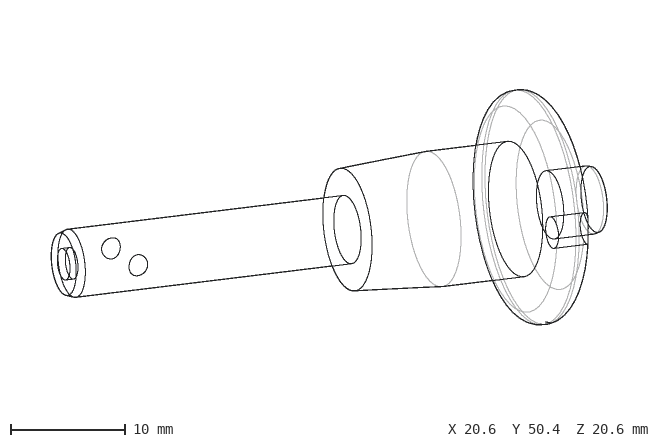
import cadquery as cq

length = 50.4
collar_start = 26.95
taper_end = 35.2
flange_front = 42.95
flange_back = 46.2

shank_radius = 6.0 / 2
tip_chamfer_length = 0.75
tip_chamfer_depth = 0.25
button_end_radius = 5.8 / 2
button_chamfer_length = 0.4

collar_radius = 11.9 / 2
collar_front_radius = 10.8 / 2

flange_radius = 20.6 / 2
front_edge_radius = 1.25
rim_width = 0.3
back_edge_width = 2.85
back_edge_height = flange_back - flange_front - front_edge_radius - rim_width

hole_diameter = 2.75
tip_hole_depth = 0.75
lanyard_hole_offset = 7.95

ball_radius = 1.0
ball_reach = 3.55
ball_station = 5.8


def make_body():
    """Revolve the half profile of shank, collar, flange and button about Y."""
    rim_start = flange_front + front_edge_radius
    profile = (
        cq.Workplane("XY")
        .moveTo(0, 0)
        .lineTo(shank_radius - tip_chamfer_depth, 0)
        .lineTo(shank_radius, tip_chamfer_length)
        .lineTo(shank_radius, collar_start)
        .lineTo(collar_front_radius, collar_start)
        .lineTo(collar_radius, taper_end)
        .lineTo(collar_radius, flange_front)
        .lineTo(flange_radius - front_edge_radius, flange_front)
        .radiusArc((flange_radius, rim_start), -front_edge_radius)
        .lineTo(flange_radius, rim_start + rim_width)
        .ellipseArc(back_edge_width, back_edge_height, 0, 90)
        .lineTo(shank_radius, flange_back)
        .lineTo(shank_radius, length - button_chamfer_length)
        .lineTo(button_end_radius, length)
        .lineTo(0, length)
        .close()
    )
    return profile.revolve(360, (0, 0, 0), (0, 1, 0))


def hole_along_axis(x, start, depth):
    """Cylinder running toward +Y, for cutting a hole."""
    return cq.Workplane(
        cq.Solid.makeCylinder(hole_diameter / 2, depth, cq.Vector(x, start, 0), cq.Vector(0, 1, 0))
    )


result = make_body()

for side in (-1, 1):
    ball_center = (side * (ball_reach - ball_radius), ball_station, 0)
    ball = cq.Workplane("XY").sphere(ball_radius).translate(ball_center)
    result = result.union(ball)

result = result.cut(hole_along_axis(0, 0, tip_hole_depth))
result = result.cut(hole_along_axis(lanyard_hole_offset, flange_front, flange_back - flange_front))